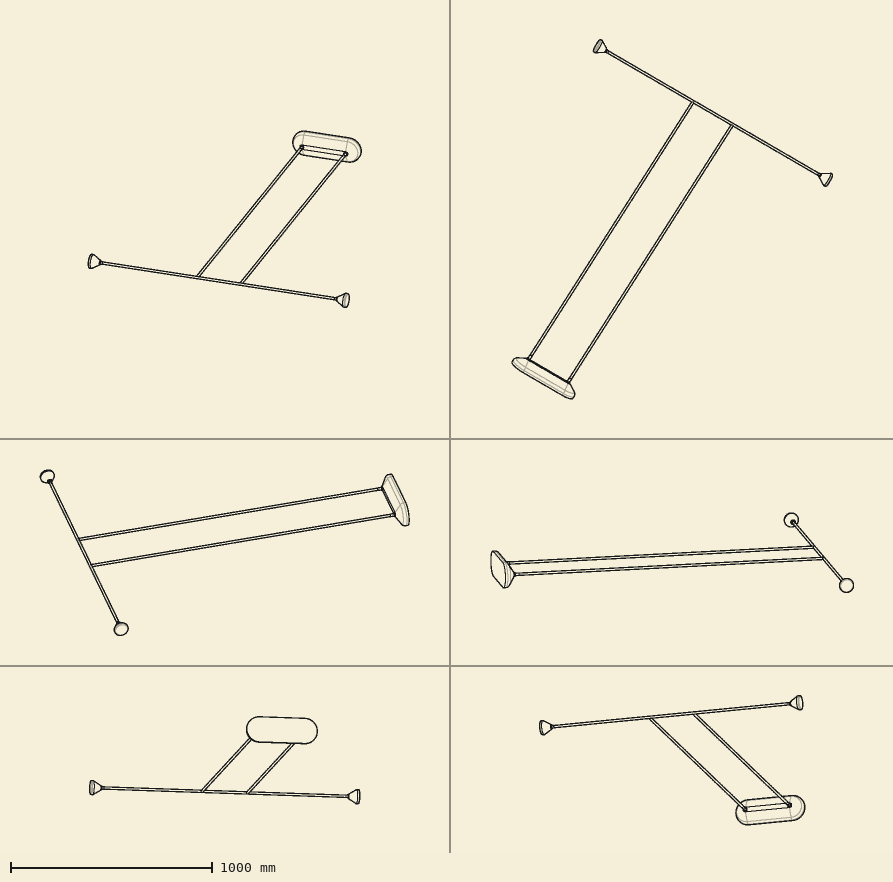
import cadquery as cq
import math

overall_x = 1349.86
overall_y = 1659.97

canopy_height = 127.0
canopy_straight = 228.6
canopy_radius = canopy_height / 2
canopy_rim_depth = 12.0
canopy_round_radius = 19.05
canopy_slope_angle = math.radians(57.5)
canopy_tip_radius = 12.0

rod_diameter = 12.7
rod_radius = rod_diameter / 2
collar_radius = 6.85
boss_radius = 9.0

support_boss_end = 61.0
support_collar_end = 81.0

cap_radius = 35.5
cap_edge_round = 4.0
cap_rim_end = 12.0
cap_cone_end = 51.0
cap_cone_tip_radius = 12.0
cap_boss_end = 56.0
cap_collar_end = 66.0

bar_y = 0.0
back_y = bar_y - cap_radius + overall_y
rod_offset = canopy_straight / 2


def canopy_profile():
    """Half section in (radius, depth): rim, tangent round, slope and flat tip."""
    round_center_radius = canopy_radius - canopy_round_radius

    def round_point(angle):
        return (
            round_center_radius + canopy_round_radius * math.cos(angle),
            canopy_rim_depth + canopy_round_radius * math.sin(angle),
        )

    round_middle = round_point(canopy_slope_angle / 2)
    round_end = round_point(canopy_slope_angle)
    slope_run = round_end[0] - canopy_tip_radius
    tip_depth = round_end[1] + slope_run / math.tan(canopy_slope_angle)
    return (
        cq.Workplane("XY")
        .lineTo(canopy_radius, 0)
        .lineTo(canopy_radius, canopy_rim_depth)
        .threePointArc(round_middle, round_end)
        .lineTo(canopy_tip_radius, tip_depth)
        .lineTo(0, tip_depth)
        .close()
    )


def make_canopy():
    """Straight run with a half-revolved end on each side."""
    half_run = canopy_profile().extrude(canopy_straight).translate((0, 0, -rod_offset))
    run = half_run.union(half_run.mirror("YZ")).rotate((0, 0, 0), (0, 1, 0), 90)
    end = canopy_profile().revolve(180, (0, 0, 0), (0, 1, 0)).rotate((0, 0, 0), (0, 1, 0), -90)
    end = end.translate((rod_offset, 0, 0))
    canopy = run.union(end).union(end.mirror("YZ"))
    return canopy.mirror("XZ").translate((0, back_y, 0))


def make_support(x):
    """Rod from the canopy to the cross bar, stepped by a boss and a collar near the canopy."""

    def cylinder(radius, end_depth):
        start = cq.Workplane("XZ", origin=(x, back_y - canopy_rim_depth, 0))
        return start.circle(radius).extrude(end_depth - canopy_rim_depth)

    rod = cylinder(rod_radius, back_y - bar_y)
    boss = cylinder(boss_radius, support_boss_end)
    collar = cylinder(collar_radius, support_collar_end)
    return rod.union(boss).union(collar)


def make_cap():
    """Flared cap on the -X end of the cross bar, with a rounded rim edge."""
    arc_offset = cap_edge_round * (1 - math.sqrt(0.5))
    profile = (
        cq.Workplane("XY")
        .lineTo(0, cap_radius - cap_edge_round)
        .threePointArc((arc_offset, cap_radius - arc_offset), (cap_edge_round, cap_radius))
        .lineTo(cap_rim_end, cap_radius)
        .lineTo(cap_cone_end, cap_cone_tip_radius)
        .lineTo(cap_cone_end, boss_radius)
        .lineTo(cap_boss_end, boss_radius)
        .lineTo(cap_boss_end, collar_radius)
        .lineTo(cap_collar_end, collar_radius)
        .lineTo(cap_collar_end, 0)
        .close()
    )
    return profile.revolve(360, (0, 0, 0), (1, 0, 0)).translate((-overall_x / 2, bar_y, 0))


def make_cross_bar():
    """Rod along X whose ends are buried in the two caps."""
    half_length = overall_x / 2 - cap_rim_end
    return cq.Workplane("YZ", origin=(0, bar_y, 0)).circle(rod_radius).extrude(half_length, both=True)


cap = make_cap()
result = make_cross_bar().union(make_canopy())
for side in (-1, 1):
    result = result.union(make_support(side * rod_offset))
result = result.union(cap).union(cap.mirror("YZ"))